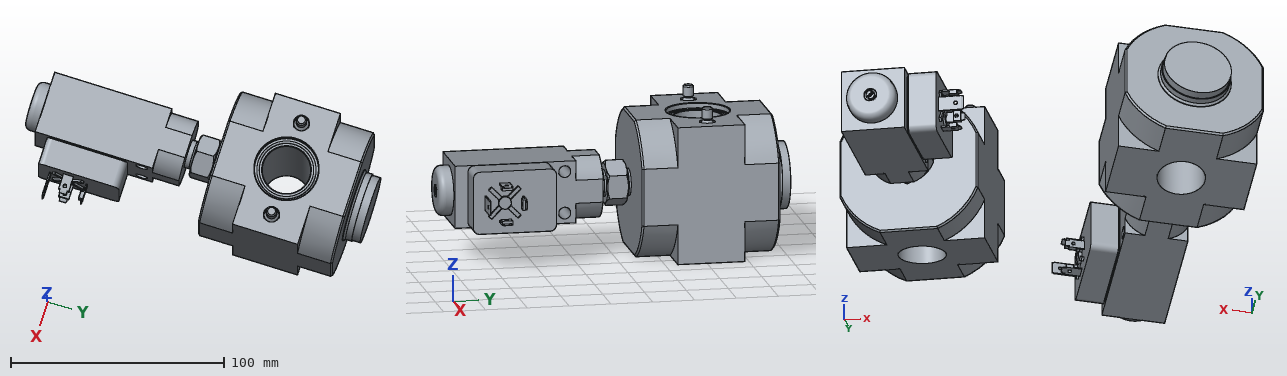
import cadquery as cq
import math

TOTAL_LENGTH = 166.8
TOTAL_WIDTH = 74.0
TOTAL_HEIGHT = 72.9

BLOCK = 66.0
BLOCK_HALF = BLOCK / 2
BLOCK_END_DIA = 71.5
BLOCK_CUBE_BAND = 32.0
BLOCK_CHAMFER = 0.8

PORT_BORE_DIA = 22.7
PORT_RECESS_DIA = 30.0
PORT_RECESS_DEPTH = 2.5
PORT_RIM_CHAMFER = 0.3
PORT_BORE_CHAMFER = 0.3

SEAL_RING_DIA = 26.7
SEAL_WIRE_DIA = 1.2
SEAL_SINK = 0.2
SEAL_CENTER_Z = BLOCK_HALF - PORT_RECESS_DEPTH - SEAL_SINK

BOSS_OUTER_DIA = 32.0
BOSS_OUTER_LENGTH = 4.0
BOSS_INNER_DIA = 33.0
BOSS_INNER_LENGTH = 3.0
BOSS_FLANGE_DIA = 35.0
BOSS_CONE_LENGTH = 1.0
BOSS_LENGTH = 8.3

SCREW_SPACING = 46.0
SCREW_HEAD_DIA = 5.0
SCREW_NECK_DIA = 3.7
SCREW_BASE_DIA = 7.0
SCREW_HEIGHT = TOTAL_HEIGHT - BLOCK
SCREW_HEAD_LENGTH = 5.2
SCREW_CHAMFER = 0.7
SCREW_CONE_TOP = 0.8
SCREW_SEAT_DIA = 7.5
SCREW_SEAT_DEPTH = 2.5

NIPPLE_DIA = 13.5
NIPPLE_COLLAR_DIA = 12.8
NIPPLE_COLLAR_LENGTH = 1.0
NIPPLE_BLOCK_NECK = 2.0
HEX_FLATS = 19.0
HEX_LENGTH = 9.8
HEX_CHAMFER_LENGTH = 0.8
NIPPLE_SOLENOID_NECK = 3.3

SOLENOID_WIDTH = 30.0
SOLENOID_LENGTH = 70.7
SOLENOID_END_DIA = 32.0
SOLENOID_END_LENGTH = 13.0
SOLENOID_HOLE_DIA = 5.7
SOLENOID_HOLE_SPACING = 20.0
SOLENOID_HOLE_SETBACK = 18.3
KNOB_DIA = 23.7
KNOB_FILLET = 3.0
KNOB_RECESS_DIA = 6.0
KNOB_RECESS_DEPTH = 1.0
OVERRIDE_DIA = 4.2
OVERRIDE_SLOT_WIDTH = 1.0

REAR_Y = BLOCK_HALF + BOSS_LENGTH
FRONT_Y = REAR_Y - TOTAL_LENGTH
HEX_REAR_Y = -BLOCK_HALF - NIPPLE_BLOCK_NECK
HEX_FRONT_Y = HEX_REAR_Y - HEX_LENGTH
SOLENOID_REAR_Y = HEX_FRONT_Y - NIPPLE_SOLENOID_NECK
SOLENOID_FRONT_Y = SOLENOID_REAR_Y - SOLENOID_LENGTH

CONNECTOR_X = SOLENOID_WIDTH / 2
GASKET_THICKNESS = 0.7
GASKET_INSET = 1.0
CONNECTOR_THICKNESS = 13.3
CONNECTOR_LENGTH = 39.7
CONNECTOR_WIDTH = 30.0
CONNECTOR_FILLET = 3.0
CONNECTOR_Y = -93.0
CONNECTOR_FACE_X = CONNECTOR_X + GASKET_THICKNESS + CONNECTOR_THICKNESS

TERMINAL_CENTER_Y = -98.0
TERMINAL_REACH = 9.3
TERMINAL_THICKNESS = 0.7
TERMINAL_HOLE_DIA = 1.65
TAPER_LENGTH = 1.0
TAPER_INSET = 0.25
SIGNAL_WIDTH = 5.0
SIGNAL_LENGTH = 7.3
SIGNAL_PAD_LENGTH = 3.5
SIGNAL_PAD_THICKNESS = 2.0
SIGNAL_TIP_WIDTH = 3.7
SIGNAL_TIP_LENGTH = 0.8
SIGNAL_HOLE_X = 5.3
EARTH_WIDTH = 6.8
EARTH_LENGTH = TOTAL_WIDTH - BLOCK_HALF - CONNECTOR_FACE_X - TAPER_LENGTH
EARTH_HOLE_X = 8.2
RIB_WIDTH = 2.0
RIB_SPAN = 19.8
RIB_HEIGHT = 1.0
STUD_DIA = 6.0
STUD_HEIGHT = 1.7


def cylinder_y(diameter, y_front, y_rear):
    """Cylinder on the main axis between two Y positions."""
    return (
        cq.Workplane("XZ", origin=(0, y_rear, 0))
        .circle(diameter / 2)
        .extrude(y_rear - y_front)
    )


def box_y(width, y_front, y_rear):
    """Square bar on the main axis between two Y positions."""
    return (
        cq.Workplane("XZ", origin=(0, y_rear, 0))
        .rect(width, width)
        .extrude(y_rear - y_front)
    )


def revolve_about_y(points):
    """Turn an outline of (radius, y) points about the main axis."""
    return cq.Workplane("XY").polyline(points).close().revolve(360, (0, 0), (0, 1))


def revolve_about_z(points, x=0.0):
    """Turn an outline of (radius, z) points about a vertical axis at x."""
    profile = cq.Workplane("XZ", origin=(x, 0, 0)).polyline(points).close()
    return profile.revolve(360, (0, 0), (0, 1))


def make_seal_ring():
    ring = cq.Solid.makeTorus(SEAL_RING_DIA / 2, SEAL_WIRE_DIA / 2, cq.Vector(0, 0, SEAL_CENTER_Z))
    return cq.Workplane(obj=ring)


def make_rear_boss():
    """Stepped round boss that flares where it meets the block."""
    step_y = REAR_Y - BOSS_OUTER_LENGTH
    cone_y = step_y - BOSS_INNER_LENGTH
    return revolve_about_y([
        (0, BLOCK_HALF),
        (BOSS_FLANGE_DIA / 2, BLOCK_HALF),
        (BOSS_FLANGE_DIA / 2, cone_y - BOSS_CONE_LENGTH),
        (BOSS_INNER_DIA / 2, cone_y),
        (BOSS_INNER_DIA / 2, step_y),
        (BOSS_OUTER_DIA / 2, step_y),
        (BOSS_OUTER_DIA / 2, REAR_Y),
        (0, REAR_Y),
    ])


def cut_port(block):
    """Vertical through bore with a recess that carries the seal ring."""
    floor_z = BLOCK_HALF - PORT_RECESS_DEPTH
    bore_radius = PORT_BORE_DIA / 2
    recess_radius = PORT_RECESS_DIA / 2
    cavity = revolve_about_z([
        (0, -BLOCK_HALF),
        (bore_radius, -BLOCK_HALF),
        (bore_radius, floor_z - PORT_BORE_CHAMFER),
        (bore_radius + PORT_BORE_CHAMFER, floor_z),
        (recess_radius, floor_z),
        (recess_radius, BLOCK_HALF - PORT_RIM_CHAMFER),
        (recess_radius + PORT_RIM_CHAMFER, BLOCK_HALF),
        (0, BLOCK_HALF),
    ])
    return block.cut(cavity).cut(make_seal_ring())


def make_block():
    ends = box_y(BLOCK, -BLOCK_HALF, BLOCK_HALF)
    ends = ends.intersect(cylinder_y(BLOCK_END_DIA, -BLOCK_HALF, BLOCK_HALF))
    ends = ends.faces("<Y or >Y").chamfer(BLOCK_CHAMFER)
    band = box_y(BLOCK, -BLOCK_CUBE_BAND / 2, BLOCK_CUBE_BAND / 2)
    block = ends.union(band).union(make_rear_boss())
    block = cut_port(block)
    screw_seats = (
        cq.Workplane("XY", origin=(0, 0, BLOCK_HALF))
        .pushPoints([(-SCREW_SPACING / 2, 0), (SCREW_SPACING / 2, 0)])
        .circle(SCREW_SEAT_DIA / 2)
        .extrude(-SCREW_SEAT_DEPTH)
    )
    return block.cut(screw_seats)


def make_screw(x):
    """Screw with a waisted shank, a chamfered head and a flared base in its seat."""
    head_radius = SCREW_HEAD_DIA / 2
    neck_radius = SCREW_NECK_DIA / 2
    base_radius = SCREW_BASE_DIA / 2
    top = BLOCK_HALF + SCREW_HEIGHT
    head_bottom = top - SCREW_HEAD_LENGTH
    cone_top = BLOCK_HALF + SCREW_CONE_TOP
    seat_bottom = BLOCK_HALF - SCREW_SEAT_DEPTH
    return revolve_about_z([
        (0, seat_bottom),
        (base_radius, seat_bottom),
        (base_radius, cone_top - (base_radius - neck_radius)),
        (neck_radius, cone_top),
        (neck_radius, head_bottom - (head_radius - neck_radius)),
        (head_radius, head_bottom),
        (head_radius, top - SCREW_CHAMFER),
        (head_radius - SCREW_CHAMFER, top),
        (0, top),
    ], x)


def make_nipple():
    """Hexagon with a round neck on each side, each neck slimmer at its +Y end."""
    radius = NIPPLE_DIA / 2
    collar_radius = NIPPLE_COLLAR_DIA / 2
    corner_radius = HEX_FLATS / math.sqrt(3)
    hexagon = (
        cq.Workplane("XZ", origin=(0, HEX_REAR_Y, 0))
        .transformed(rotate=(0, 0, 90))
        .polygon(6, 2 * corner_radius)
        .extrude(HEX_LENGTH)
    )
    corner_trim = revolve_about_y([
        (0, HEX_FRONT_Y),
        (HEX_FLATS / 2, HEX_FRONT_Y),
        (corner_radius, HEX_FRONT_Y + HEX_CHAMFER_LENGTH),
        (corner_radius, HEX_REAR_Y - HEX_CHAMFER_LENGTH),
        (HEX_FLATS / 2, HEX_REAR_Y),
        (0, HEX_REAR_Y),
    ])
    necks = revolve_about_y([
        (0, SOLENOID_REAR_Y),
        (radius, SOLENOID_REAR_Y),
        (radius, HEX_FRONT_Y - NIPPLE_COLLAR_LENGTH),
        (collar_radius, HEX_FRONT_Y - NIPPLE_COLLAR_LENGTH),
        (collar_radius, HEX_FRONT_Y),
        (radius, HEX_FRONT_Y),
        (radius, -BLOCK_HALF - NIPPLE_COLLAR_LENGTH),
        (collar_radius, -BLOCK_HALF - NIPPLE_COLLAR_LENGTH),
        (collar_radius, -BLOCK_HALF),
        (0, -BLOCK_HALF),
    ])
    return hexagon.intersect(corner_trim).union(necks)


def make_knob():
    """Round end cap with a slotted override in a shallow ring recess."""
    knob = cylinder_y(KNOB_DIA, FRONT_Y, SOLENOID_FRONT_Y).faces("<Y").edges().fillet(KNOB_FILLET)
    recess_floor_y = FRONT_Y + KNOB_RECESS_DEPTH
    recess = cylinder_y(KNOB_RECESS_DIA, FRONT_Y, recess_floor_y)
    override = cylinder_y(OVERRIDE_DIA, FRONT_Y, recess_floor_y)
    slot = (
        cq.Workplane("XZ", origin=(0, recess_floor_y, 0))
        .transformed(rotate=(0, 0, 45))
        .rect(OVERRIDE_DIA, OVERRIDE_SLOT_WIDTH)
        .extrude(KNOB_RECESS_DEPTH)
    )
    return knob.cut(recess.cut(override)).cut(slot)


def make_solenoid():
    end_y = SOLENOID_REAR_Y - SOLENOID_END_LENGTH
    rounded_end = box_y(SOLENOID_WIDTH, end_y, SOLENOID_REAR_Y)
    rounded_end = rounded_end.intersect(cylinder_y(SOLENOID_END_DIA, end_y, SOLENOID_REAR_Y))
    body = box_y(SOLENOID_WIDTH, SOLENOID_FRONT_Y, end_y).union(rounded_end).union(make_knob())
    hole_y = SOLENOID_REAR_Y - SOLENOID_HOLE_SETBACK
    holes = (
        cq.Workplane("YZ", origin=(-SOLENOID_WIDTH / 2, hole_y, 0))
        .pushPoints([(0, -SOLENOID_HOLE_SPACING / 2), (0, SOLENOID_HOLE_SPACING / 2)])
        .circle(SOLENOID_HOLE_DIA / 2)
        .extrude(SOLENOID_WIDTH)
    )
    return body.cut(holes)


def make_bar(x, length, width, thickness):
    """Flat bar along X from the given x, with its top face at Z = 0."""
    bar = cq.Workplane("XY").box(length, width, thickness, centered=(False, True, False))
    return bar.translate((x, 0, -thickness))


def make_tapered_end(x, width):
    """Blade end that narrows on all four sides."""
    return (
        cq.Workplane("YZ", origin=(x, 0, -TERMINAL_THICKNESS / 2))
        .rect(width, TERMINAL_THICKNESS)
        .workplane(offset=TAPER_LENGTH)
        .rect(width - 2 * TAPER_INSET, TERMINAL_THICKNESS - 2 * TAPER_INSET)
        .loft()
    )


def cut_blade_hole(blade, x, depth):
    hole = cq.Workplane("XY").center(x, 0).circle(TERMINAL_HOLE_DIA / 2).extrude(-depth)
    return blade.cut(hole)


def make_signal_blade():
    """Short blade along X with a thick pad and a narrow tip, its outer face at Z = 0."""
    pad_x = SIGNAL_LENGTH - SIGNAL_PAD_LENGTH
    tip_end_x = SIGNAL_LENGTH + SIGNAL_TIP_LENGTH
    blade = (
        make_bar(0, SIGNAL_LENGTH, SIGNAL_WIDTH, TERMINAL_THICKNESS)
        .union(make_bar(pad_x, SIGNAL_PAD_LENGTH, SIGNAL_WIDTH, SIGNAL_PAD_THICKNESS))
        .union(make_bar(SIGNAL_LENGTH, SIGNAL_TIP_LENGTH, SIGNAL_TIP_WIDTH, TERMINAL_THICKNESS))
        .union(make_tapered_end(tip_end_x, SIGNAL_TIP_WIDTH))
    )
    return cut_blade_hole(blade, SIGNAL_HOLE_X, SIGNAL_PAD_THICKNESS)


def make_earth_blade():
    """Long plain blade along X, its outer face at Z = 0."""
    blade = make_bar(0, EARTH_LENGTH, EARTH_WIDTH, TERMINAL_THICKNESS)
    blade = blade.union(make_tapered_end(EARTH_LENGTH, EARTH_WIDTH))
    return cut_blade_hole(blade, EARTH_HOLE_X, TERMINAL_THICKNESS)


def make_terminals():
    """Three signal blades and a longer earth blade around the connector centre."""
    terminals = []
    blades = {
        0: make_signal_blade(),
        90: make_earth_blade(),
        180: make_signal_blade(),
        270: make_signal_blade(),
    }
    for angle, blade in blades.items():
        blade = blade.translate((0, 0, TERMINAL_REACH))
        blade = blade.rotate((0, 0, 0), (1, 0, 0), angle)
        terminals.append(blade.translate((CONNECTOR_FACE_X, TERMINAL_CENTER_Y, 0)))
    return terminals


def make_connector():
    connector = (
        cq.Workplane("YZ", origin=(CONNECTOR_X + GASKET_THICKNESS, CONNECTOR_Y, 0))
        .rect(CONNECTOR_LENGTH, CONNECTOR_WIDTH)
        .extrude(CONNECTOR_THICKNESS)
        .edges("|X")
        .fillet(CONNECTOR_FILLET)
    )
    gasket = (
        cq.Workplane("YZ", origin=(CONNECTOR_X, CONNECTOR_Y, 0))
        .rect(CONNECTOR_LENGTH - 2 * GASKET_INSET, CONNECTOR_WIDTH - 2 * GASKET_INSET)
        .extrude(GASKET_THICKNESS)
        .edges("|X")
        .fillet(CONNECTOR_FILLET - GASKET_INSET)
    )
    face = cq.Workplane("YZ", origin=(CONNECTOR_FACE_X, TERMINAL_CENTER_Y, 0))
    connector = connector.union(gasket).union(face.circle(STUD_DIA / 2).extrude(STUD_HEIGHT))
    for angle in (45, -45):
        rib = face.transformed(rotate=(0, 0, angle)).rect(RIB_SPAN, RIB_WIDTH).extrude(RIB_HEIGHT)
        connector = connector.union(rib)
    for terminal in make_terminals():
        connector = connector.union(terminal)
    return connector


block = make_block()
seal_ring = make_seal_ring()
screws = [make_screw(side * SCREW_SPACING / 2) for side in (-1, 1)]
nipple = make_nipple()
solenoid = make_solenoid()
connector = make_connector()

result = cq.Compound.makeCompound([
    block.val(),
    seal_ring.val(),
    *[screw.val() for screw in screws],
    nipple.val(),
    solenoid.val(),
    connector.val(),
])